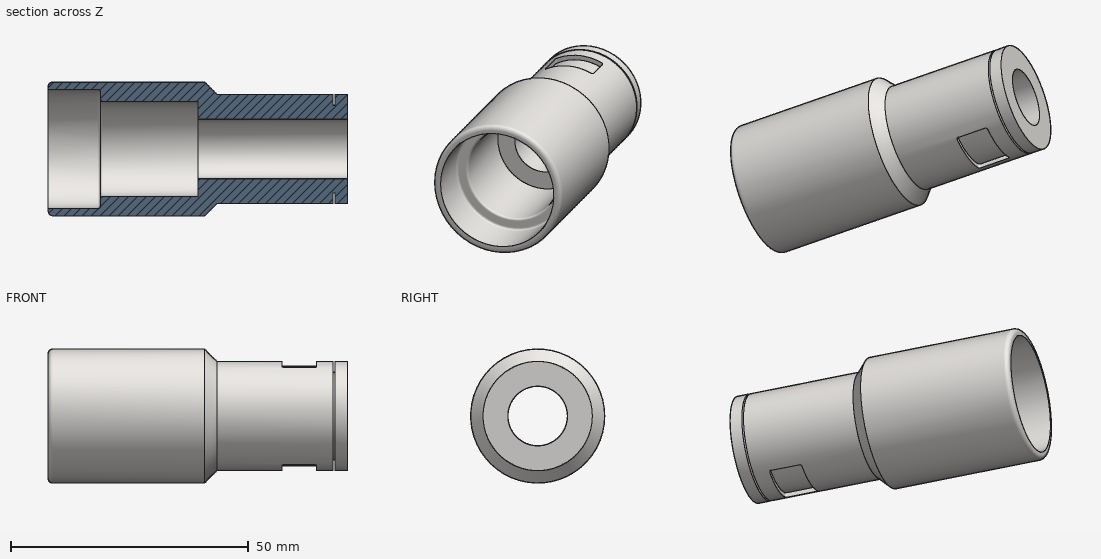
import cadquery as cq

length = 63.0
body_diameter = 28.2
body_end = 32.95
neck_diameter = 23.0
mouth_round = 1.0

socket_diameter = 25.0
socket_depth = 11.0
chamber_diameter = 20.0
chamber_depth = 31.5
through_diameter = 12.5
step_round = 0.5

groove_diameter = 18.5
groove_start = 60.0
groove_width = 0.4

pocket_floor_diameter = 21.0
pocket_start = 49.25
pocket_length = 7.2
pocket_width = 10.5
pocket_corner_radius = 0.45


def make_sleeve():
    """Revolve the half section of the sleeve, including its 45 degree shoulder."""
    body_radius = body_diameter / 2
    neck_radius = neck_diameter / 2
    socket_radius = socket_diameter / 2
    chamber_radius = chamber_diameter / 2
    shoulder_end = body_end + body_radius - neck_radius
    section = (
        cq.Workplane("XY")
        .moveTo(0, socket_radius)
        .lineTo(0, body_radius - mouth_round)
        .radiusArc((mouth_round, body_radius), mouth_round)
        .lineTo(body_end, body_radius)
        .lineTo(shoulder_end, neck_radius)
        .lineTo(length, neck_radius)
        .lineTo(length, through_diameter / 2)
        .lineTo(chamber_depth, through_diameter / 2)
        .lineTo(chamber_depth, chamber_radius)
        .lineTo(socket_depth + step_round, chamber_radius)
        .radiusArc((socket_depth, chamber_radius + step_round), step_round)
        .lineTo(socket_depth, socket_radius - step_round)
        .radiusArc((socket_depth - step_round, socket_radius), -step_round)
        .close()
    )
    return section.revolve(360, (0, 0, 0), (1, 0, 0))


def make_ring(start, width, inner_diameter):
    """Ring from the given inner diameter out past the neck surface."""
    return (
        cq.Workplane("YZ", origin=(start, 0, 0))
        .circle(body_diameter / 2)
        .circle(inner_diameter / 2)
        .extrude(width)
    )


def make_pockets():
    """Top and bottom pocket cutters, bounded inside by the curved floor."""
    outline = (
        cq.Workplane("XY")
        .center(pocket_start + pocket_length / 2, 0)
        .rect(pocket_length, pocket_width)
        .extrude(body_diameter / 2, both=True)
        .edges("|Z")
        .fillet(pocket_corner_radius)
    )
    return outline.intersect(make_ring(pocket_start, pocket_length, pocket_floor_diameter))


groove = make_ring(groove_start, groove_width, groove_diameter)
result = make_sleeve().cut(groove).cut(make_pockets())